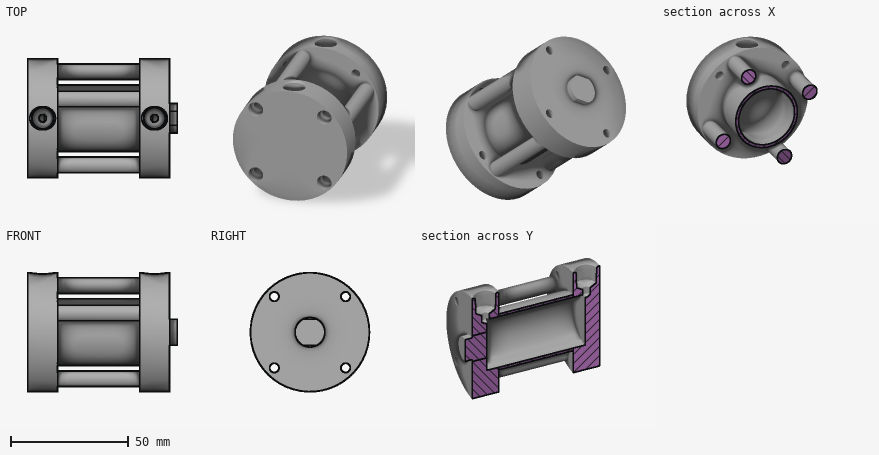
import cadquery as cq
import math

total_length = 63.75
cap_diameter = 50.8
cap_thickness = 12.75
shaft_protrusion = 3.3
caps_span = total_length - shaft_protrusion
tube_length = caps_span - 2 * cap_thickness

tube_diameter = 28.55
bore_diameter = 25.45

rod_count = 4
rod_diameter = 6.75
bolt_circle_radius = 21.5
rod_start_angle = 67.5
bolt_start_angle = 45.0
bolt_hole_diameter = 3.9
counterbore_diameter = 6.5
counterbore_depth = 3.7

recess_depth = 5.6

port_diameter = 9.45
port_floor_diameter = 9.05
port_chamfer = 0.75
port_depth = 8.15
passage_diameter = 3.2
passage_depth = 13.4
drill_point_angle = 118.0

shaft_diameter = 12.7
shaft_across_flats = 11.2

front_cap_start = 0.0
tube_start = front_cap_start + cap_thickness
rear_cap_start = tube_start + tube_length
rear_cap_end = rear_cap_start + cap_thickness


def cylinder_x(diameter, start, length, y=0.0, z=0.0):
    """Cylinder along +X whose first end face lies at X = start."""
    return cq.Workplane("YZ", origin=(start, y, z)).circle(diameter / 2).extrude(length)


def circle_points(start_angle):
    """(y, z) of equally spaced places on the bolt circle."""
    angles = [math.radians(start_angle + 360.0 * i / rod_count) for i in range(rod_count)]
    return [(bolt_circle_radius * math.cos(a), bolt_circle_radius * math.sin(a)) for a in angles]


def point_height(radius):
    """Height of a drill point of the given radius."""
    return radius / math.tan(math.radians(drill_point_angle / 2))


def port_cutter(x):
    """Chamfered, tapered port with a drilled cone and a narrow passage below it."""
    top = cap_diameter / 2
    port_radius = port_diameter / 2
    port_floor_radius = port_floor_diameter / 2
    passage_radius = passage_diameter / 2
    port_floor = top - port_depth
    cone_bottom = port_floor - point_height(port_floor_radius) + point_height(passage_radius)
    passage_floor = top - passage_depth
    profile = [
        (0, top),
        (port_radius + port_chamfer, top),
        (port_radius, top - port_chamfer),
        (port_floor_radius, port_floor),
        (passage_radius, cone_bottom),
        (passage_radius, passage_floor),
        (0, passage_floor - point_height(passage_radius)),
    ]
    return (
        cq.Workplane("XZ", origin=(x, 0, 0))
        .polyline(profile)
        .close()
        .revolve(360, (0, 0, 0), (0, 1, 0))
    )


def make_cap(start, recess_start):
    """End cap with bore recess, bolt holes and port."""
    cap = cylinder_x(cap_diameter, start, cap_thickness)
    cap = cap.cut(cylinder_x(bore_diameter, recess_start, recess_depth))
    for y, z in circle_points(bolt_start_angle):
        cap = cap.cut(cylinder_x(bolt_hole_diameter, start, cap_thickness, y, z))
    return cap.cut(port_cutter(start + cap_thickness / 2))


def make_front_cap():
    """Closed cap with counterbored bolt holes on its outer face."""
    cap = make_cap(front_cap_start, tube_start - recess_depth)
    for y, z in circle_points(bolt_start_angle):
        cap = cap.cut(cylinder_x(counterbore_diameter, front_cap_start, counterbore_depth, y, z))
    return cap


def make_rear_cap():
    """Cap with a central hole that the shaft passes through."""
    cap = make_cap(rear_cap_start, rear_cap_start)
    return cap.cut(cylinder_x(shaft_diameter, rear_cap_start, cap_thickness))


def make_tube():
    """Plain tube held between the caps."""
    tube = cylinder_x(tube_diameter, tube_start, tube_length)
    return tube.cut(cylinder_x(bore_diameter, tube_start, tube_length))


def make_rod(y, z):
    """Round spacer rod between the caps."""
    return cylinder_x(rod_diameter, tube_start, tube_length, y, z)


def make_shaft():
    """Round shaft from the recess floor outward, with two flats on its exposed end."""
    start = rear_cap_start + recess_depth
    shaft = cylinder_x(shaft_diameter, start, rear_cap_end - start)
    exposed_end = cylinder_x(shaft_diameter, rear_cap_end, shaft_protrusion)
    flats = cq.Workplane("YZ", origin=(rear_cap_end, 0, 0)).rect(shaft_diameter, shaft_across_flats)
    return shaft.union(exposed_end.intersect(flats.extrude(shaft_protrusion)))


front_cap = make_front_cap()
rear_cap = make_rear_cap()
tube = make_tube()
rods = [make_rod(y, z) for y, z in circle_points(rod_start_angle)]
shaft = make_shaft()

result = cq.Compound.makeCompound(
    [front_cap.val(), rear_cap.val(), tube.val(), *[rod.val() for rod in rods], shaft.val()]
)